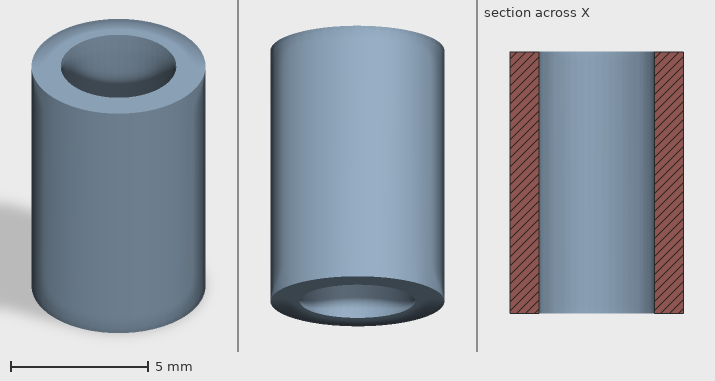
import cadquery as cq

length = 9.53
outer_diameter = 6.35
bore_diameter = 4.21

result = (
    cq.Workplane("XY")
    .circle(outer_diameter / 2)
    .circle(bore_diameter / 2)
    .extrude(length)
)